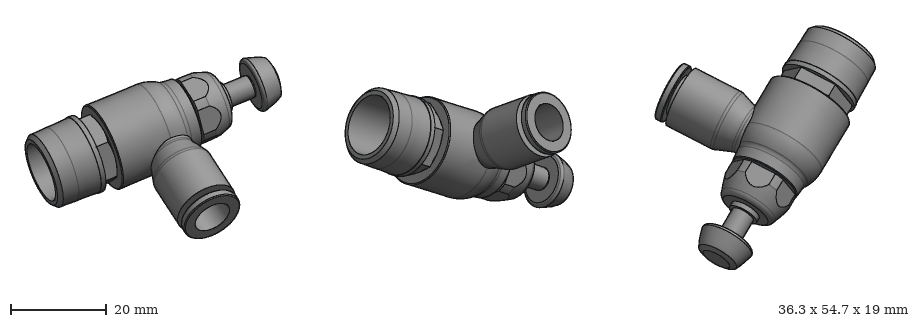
import cadquery as cq
import math

length = 54.7
width = 36.3
edge_chamfer = 0.2

thread_end_radius = 7.4
thread_chamfer_height = 0.95
thread_tip_radius = 8.2
gauge_height = 4.55
gauge_radius = 8.3
thread_height = 9.7
thread_root_radius = 8.5
collar_radius = 8.6
collar_top = 10.8
bore_radius = 6.45

across_flats = 14.1
flat_radius = across_flats / 2
corner_radius = flat_radius / math.cos(math.pi / 6)
hex_chamfer_angle = 30.0

body_bottom = 14.2
body_diameter = 19.0
body_radius = body_diameter / 2
shoulder_start = 26.35
shoulder_radius = 9.45
shoulder_end = 30.4
shoulder_end_radius = 8.35
shoulder_blend_sag = 0.08
neck_bottom = 31.4
neck_bottom_radius = 7.95
neck_top_radius = 7.7
body_top = 33.95

nut_bottom = 34.35
nut_radius = 7.6
nut_cylinder_top = 37.15
nut_shoulder = 40.95
nut_shoulder_bulge = 0.05
nut_shoulder_radius = 6.4
nut_top = 42.1
nut_top_radius = 5.35
nut_corner_bulge = 0.2

stem_collar_radius = 3.3
stem_collar_top = 43.25
stem_radius = 2.5
stem_neck_radius = 2.35
stem_neck_start = 49.0
knob_bottom = 49.35
knob_radius = 5.95
knob_face_radius = 5.1
knob_bevel_radius = 5.6
knob_bevel_top = 49.5
knob_rim_height = 50.15
knob_rim_bulge = 0.1
knob_side_bulge = 0.15
knob_shoulder = 54.15
knob_shoulder_radius = 4.55
knob_top_radius = 3.15

arm_height = shoulder_start
arm_root_radius = 5.2
arm_root_end = 8.55
cone_start = 9.1
cone_start_radius = 5.3
cone_end = 12.7
cone_end_radius = 6.6
arm_start = 13.35
arm_diameter = 13.5
arm_radius = arm_diameter / 2
arm_end = 24.05
release_neck_radius = 4.55
flange_start = 25.15
flange_end = width - body_radius
flange_radius = 6.55
tube_bore_radius = 4.05


def revolve_about_y(outline):
    return outline.close().revolve(360, (0, 0, 0), (0, 1, 0))


def cylinder_along_y(radius, bottom, top):
    return cq.Workplane("XZ", origin=(0, bottom, 0)).circle(radius).extrude(bottom - top)


def hexagon_along_y(bottom, top):
    """Hexagon prism with two corners on the X direction and flats facing +Z and -Z."""
    return cq.Workplane("XZ", origin=(0, bottom, 0)).polygon(6, 2 * corner_radius).extrude(bottom - top)


def make_thread():
    outline = (
        cq.Workplane("XY")
        .lineTo(thread_end_radius, 0)
        .lineTo(thread_tip_radius, thread_chamfer_height)
        .lineTo(gauge_radius, gauge_height)
        .lineTo(thread_root_radius, thread_height)
        .lineTo(collar_radius, thread_height)
        .lineTo(collar_radius, collar_top)
        .lineTo(0, collar_top)
    )
    return revolve_about_y(outline)


def make_wrench_hexagon():
    """Hexagon whose corners are turned down to a cone at the body end."""
    cone_height = (corner_radius - flat_radius) * math.tan(math.radians(hex_chamfer_angle))
    envelope = revolve_about_y(
        cq.Workplane("XY")
        .moveTo(0, collar_top)
        .lineTo(corner_radius, collar_top)
        .lineTo(corner_radius, body_bottom - cone_height)
        .lineTo(flat_radius, body_bottom)
        .lineTo(0, body_bottom)
    )
    return hexagon_along_y(collar_top, body_bottom).intersect(envelope)


def make_body():
    outline = (
        cq.Workplane("XY")
        .moveTo(0, body_bottom)
        .lineTo(body_radius - edge_chamfer, body_bottom)
        .lineTo(body_radius, body_bottom + edge_chamfer)
        .lineTo(shoulder_radius, shoulder_start)
        .tangentArcPoint((shoulder_end_radius, shoulder_end), relative=False)
        .sagittaArc((neck_bottom_radius, neck_bottom), shoulder_blend_sag)
        .lineTo(neck_top_radius, body_top - edge_chamfer)
        .lineTo(neck_top_radius - edge_chamfer, body_top)
        .lineTo(0, body_top)
    )
    return revolve_about_y(outline)


def make_lock_nut():
    """Round-shouldered nut with six flats cut into its cylinder."""
    outline = (
        cq.Workplane("XY")
        .moveTo(0, nut_bottom)
        .lineTo(nut_radius, nut_bottom)
        .lineTo(nut_radius, nut_cylinder_top)
        .sagittaArc((nut_shoulder_radius, nut_shoulder), -nut_shoulder_bulge)
        .sagittaArc((nut_top_radius, nut_top), -nut_corner_bulge)
        .lineTo(0, nut_top)
    )
    return revolve_about_y(outline).intersect(hexagon_along_y(nut_bottom, nut_top))


def make_stem():
    outline = (
        cq.Workplane("XY")
        .moveTo(0, body_top)
        .lineTo(stem_collar_radius, body_top)
        .lineTo(stem_collar_radius, stem_collar_top)
        .lineTo(stem_radius, stem_collar_top)
        .lineTo(stem_radius, stem_neck_start)
        .lineTo(stem_neck_radius, knob_bottom)
        .lineTo(0, knob_bottom)
    )
    return revolve_about_y(outline)


def make_knob():
    outline = (
        cq.Workplane("XY")
        .moveTo(0, knob_bottom)
        .lineTo(knob_face_radius, knob_bottom)
        .lineTo(knob_bevel_radius, knob_bevel_top)
        .sagittaArc((knob_radius, knob_rim_height), -knob_rim_bulge)
        .sagittaArc((knob_shoulder_radius, knob_shoulder), -knob_side_bulge)
        .lineTo(knob_top_radius, length)
        .lineTo(0, length)
    )
    return revolve_about_y(outline)


def make_tube_arm():
    outline = (
        cq.Workplane("XY", origin=(0, arm_height, 0))
        .lineTo(0, arm_root_radius)
        .lineTo(arm_root_end, arm_root_radius)
        .tangentArcPoint((cone_start, cone_start_radius), relative=False)
        .lineTo(cone_end, cone_end_radius)
        .tangentArcPoint((arm_start, arm_radius), relative=False)
        .lineTo(arm_end, arm_radius)
        .lineTo(arm_end, release_neck_radius)
        .lineTo(flange_start, release_neck_radius)
        .lineTo(flange_start, flange_radius - edge_chamfer)
        .lineTo(flange_start + edge_chamfer, flange_radius)
        .lineTo(flange_end - edge_chamfer, flange_radius)
        .lineTo(flange_end, flange_radius - edge_chamfer)
        .lineTo(flange_end, 0)
        .close()
    )
    return outline.revolve(360, (0, 0, 0), (1, 0, 0))


def make_flow_passage():
    """Thread bore up to the arm axis, meeting a round-ended bore along the tube arm."""
    thread_bore = cylinder_along_y(bore_radius, 0, arm_height)
    tube_bore = cq.Workplane("YZ", origin=(0, arm_height, 0)).circle(tube_bore_radius).extrude(flange_end)
    round_end = cq.Workplane("XY", origin=(0, arm_height, 0)).sphere(tube_bore_radius)
    return thread_bore.union(tube_bore).union(round_end)


result = make_thread()
for piece in (
    make_wrench_hexagon(),
    make_body(),
    make_lock_nut(),
    make_stem(),
    make_knob(),
    make_tube_arm(),
):
    result = result.union(piece)
result = result.cut(make_flow_passage())